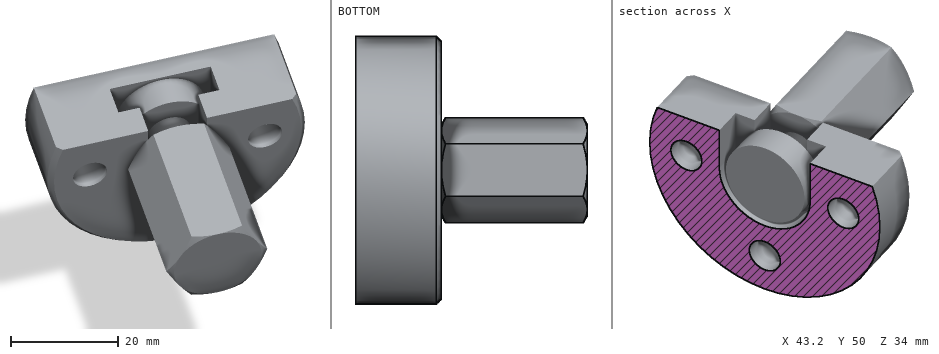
import cadquery as cq
import math

plate_diameter = 50.0
plate_thickness = 16.0
plate_chamfer = 1.0
flat_height = 9.0

hole_diameter = 6.6
hole_pitch_radius = 17.0
hole_angles = (0, 180, 270)

slot_floor = 4.25
slot_depth = 5.9
head_slot_width = 19.6
neck_slot_width = 11.4

head_start = 4.4
head_end = slot_floor + slot_depth
head_diameter = 17.0
neck_diameter = 8.2
grip_start = plate_thickness
grip_end = 43.2
grip_across_flats = 17.0
grip_across_corners = grip_across_flats / math.cos(math.radians(30))
grip_chamfer_angle = 30.0


def cylinder_x(diameter, start, end):
    """Cylinder about the X axis between two X positions."""
    return cq.Workplane("YZ").workplane(offset=start).circle(diameter / 2).extrude(end - start)


def round_ended_slot(width, start, end):
    """Slot cutter that runs from a round bottom at the axis up to the flat."""
    upper = (
        cq.Workplane("XY")
        .box(end - start, width, flat_height, centered=(False, True, False))
        .translate((start, 0, 0))
    )
    return cylinder_x(width, start, end).union(upper)


def make_plate():
    plate = cylinder_x(plate_diameter, 0, plate_thickness).faces(">X").edges().chamfer(plate_chamfer)

    above_flat = (
        cq.Workplane("XY")
        .workplane(offset=flat_height)
        .rect(2 * plate_diameter, 2 * plate_diameter)
        .extrude(plate_diameter)
    )
    plate = plate.cut(above_flat)

    for angle in hole_angles:
        y = hole_pitch_radius * math.cos(math.radians(angle))
        z = hole_pitch_radius * math.sin(math.radians(angle))
        plate = plate.cut(cylinder_x(hole_diameter, 0, plate_thickness).translate((0, y, z)))

    slot_shoulder = slot_floor + slot_depth
    plate = plate.cut(round_ended_slot(head_slot_width, slot_floor, slot_shoulder))
    return plate.cut(round_ended_slot(neck_slot_width, slot_shoulder, plate_thickness))


def make_grip():
    """Hexagonal bar, flats up and down, with its corners turned off at both ends."""
    hexagon = (
        cq.Workplane("YZ")
        .workplane(offset=grip_start)
        .polygon(6, grip_across_corners)
        .extrude(grip_end - grip_start)
    )
    flat_radius = grip_across_flats / 2
    corner_radius = grip_across_corners / 2
    chamfer_length = (corner_radius - flat_radius) * math.tan(math.radians(grip_chamfer_angle))
    turned_envelope = (
        cq.Workplane("XY")
        .moveTo(grip_start, 0)
        .lineTo(grip_start, flat_radius)
        .lineTo(grip_start + chamfer_length, corner_radius)
        .lineTo(grip_end - chamfer_length, corner_radius)
        .lineTo(grip_end, flat_radius)
        .lineTo(grip_end, 0)
        .close()
        .revolve(360, (0, 0, 0), (1, 0, 0))
    )
    return hexagon.intersect(turned_envelope)


def make_stud():
    head = cylinder_x(head_diameter, head_start, head_end)
    neck = cylinder_x(neck_diameter, head_end, grip_start)
    return head.union(neck).union(make_grip())


plate = make_plate()
stud = make_stud()

result = cq.Compound.makeCompound([plate.val(), stud.val()])